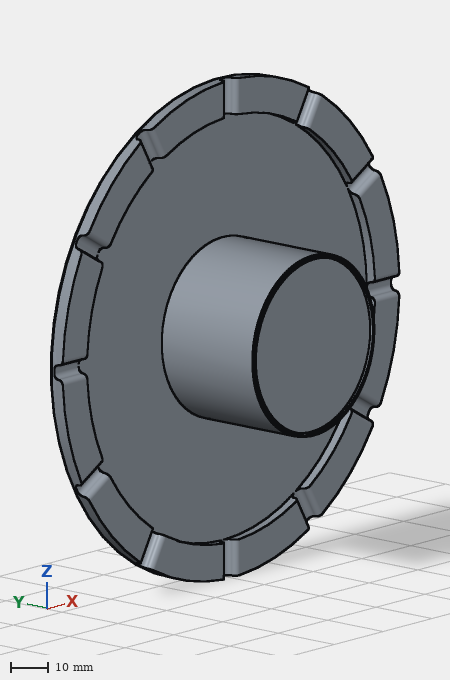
import cadquery as cq
import math

disc_radius = 69.0
disc_thickness = 6.0
back_chamfer = 2.0

recess_radius = 59.0
recess_depth = 3.0

boss_radius = 25.0
boss_projection = 29.8
boss_edge_chamfer = 0.4

boss_recess_radius = 24.0
boss_recess_depth = 1.0

groove_count = 12
groove_half_width = 2.0
groove_round = recess_depth / 2
groove_start_radius = recess_radius - 2.0
groove_end_radius = disc_radius + 1.0


def make_body():
    """Revolve the disc, recess and boss about the Y axis."""
    profile = (
        cq.Workplane("XY")
        .moveTo(0, disc_thickness)
        .lineTo(disc_radius - back_chamfer, disc_thickness)
        .lineTo(disc_radius, disc_thickness - back_chamfer)
        .lineTo(disc_radius, 0)
        .lineTo(recess_radius, 0)
        .lineTo(recess_radius, recess_depth)
        .lineTo(boss_radius, recess_depth)
        .lineTo(boss_radius, boss_edge_chamfer - boss_projection)
        .lineTo(boss_radius - boss_edge_chamfer, -boss_projection)
        .lineTo(boss_recess_radius, -boss_projection)
        .lineTo(boss_recess_radius, boss_recess_depth - boss_projection)
        .lineTo(0, boss_recess_depth - boss_projection)
        .close()
    )
    return profile.revolve(360, (0, 0, 0), (0, 1, 0))


def make_groove_cutter():
    """Groove section in XY, extruded along +Z across the rim."""
    floor_half = groove_half_width - groove_round
    mouth_half = groove_half_width + groove_round
    wall_y = recess_depth - groove_round
    arc_side = groove_round * math.sin(math.radians(45))
    arc_rest = groove_round - arc_side
    floor_arc_mid = (floor_half + arc_side, recess_depth - arc_rest)
    mouth_arc_mid = (groove_half_width + arc_rest, wall_y - arc_side)
    return (
        cq.Workplane("XY", origin=(0, 0, groove_start_radius))
        .moveTo(-mouth_half, 0)
        .threePointArc((-mouth_arc_mid[0], mouth_arc_mid[1]), (-groove_half_width, wall_y))
        .threePointArc((-floor_arc_mid[0], floor_arc_mid[1]), (-floor_half, recess_depth))
        .lineTo(floor_half, recess_depth)
        .threePointArc(floor_arc_mid, (groove_half_width, wall_y))
        .threePointArc(mouth_arc_mid, (mouth_half, 0))
        .close()
        .extrude(groove_end_radius - groove_start_radius)
    )


def cut_grooves(body):
    """Cut the grooves, equally spaced about the Y axis."""
    cutter = make_groove_cutter()
    for index in range(groove_count):
        angle = index * 360.0 / groove_count
        body = body.cut(cutter.rotate((0, 0, 0), (0, 1, 0), angle))
    return body


result = cut_grooves(make_body())